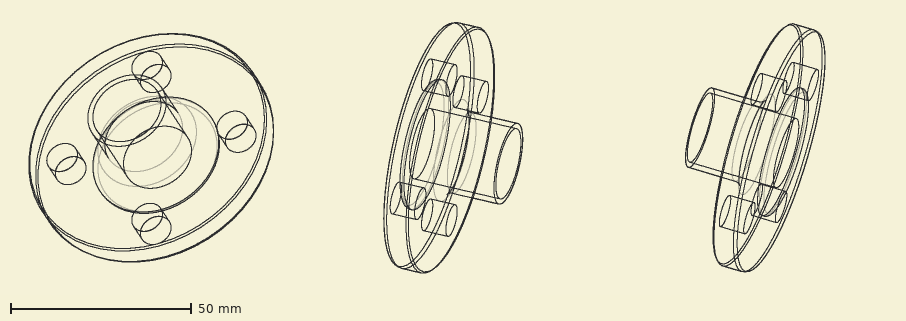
import cadquery as cq

flange_diameter = 70.0
total_length = 25.5
flange_thickness = 7.2

face_diameter = 37.0
face_height = 1.5
face_fillet = 1.0

neck_diameter = 23.0
bore_diameter = 20.0
neck_fillet = 3.0

bolt_circle_diameter = 50.0
bolt_hole_diameter = 9.0
bolt_hole_count = 4

neck_side_chamfer = 0.5
face_side_chamfer_length = 1.0
face_side_chamfer_depth = 0.35

flange_back = total_length - face_height - flange_thickness
flange_front = flange_back + flange_thickness


def disc(start, length, diameter):
    """Solid cylinder along X, starting at the given position."""
    return cq.Workplane("YZ", origin=(start, 0, 0)).circle(diameter / 2).extrude(length)


def make_flange():
    plate = disc(flange_back, flange_thickness, flange_diameter)
    plate = plate.faces("<X").edges().chamfer(neck_side_chamfer)
    return plate.faces(">X").edges().chamfer(face_side_chamfer_length, face_side_chamfer_depth)


def make_raised_face():
    face = disc(flange_front, face_height, face_diameter)
    return face.faces(">X").edges().fillet(face_fillet)


def make_neck():
    """Neck with a concave root blending into the back of the flange."""
    neck_radius = neck_diameter / 2
    diagonal = neck_fillet * (1 - 0.5**0.5)
    root_start = flange_back - neck_fillet
    return (
        cq.Workplane("XY")
        .lineTo(0, neck_radius)
        .lineTo(root_start, neck_radius)
        .threePointArc(
            (flange_back - diagonal, neck_radius + diagonal),
            (flange_back, neck_radius + neck_fillet),
        )
        .lineTo(flange_back, 0)
        .close()
        .revolve(360, (0, 0, 0), (1, 0, 0))
    )


def make_bolt_holes():
    return (
        cq.Workplane("YZ", origin=(flange_back, 0, 0))
        .polarArray(bolt_circle_diameter / 2, 0, 360, bolt_hole_count)
        .circle(bolt_hole_diameter / 2)
        .extrude(flange_thickness)
    )


bore = disc(0, total_length, bore_diameter)
body = make_neck().union(make_flange()).union(make_raised_face())
result = body.cut(bore).cut(make_bolt_holes())